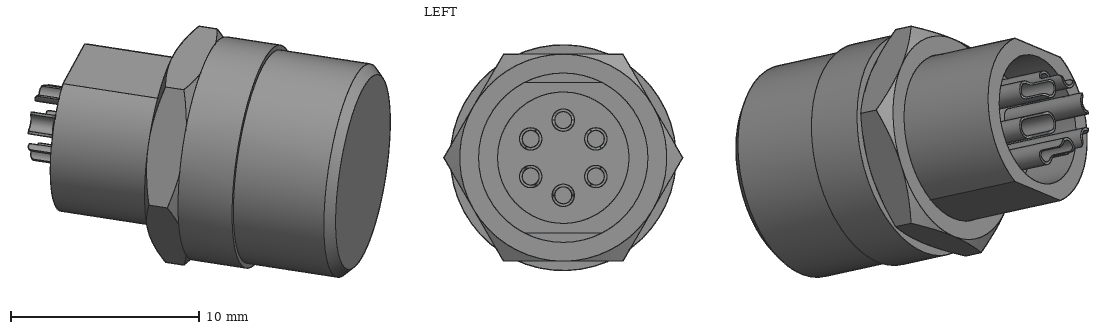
import cadquery as cq
import math

barrel_start = 2.0
nut_start = 7.5
flange_start = 9.5
sleeve_start = 12.5
total_length = 18.0

barrel_radius = 4.5
barrel_across_flats = 8.0
cavity_radius = 3.5
cavity_depth = 3.0

nut_across_flats = 11.0
nut_chamfer_angle = 30.0

flange_diameter = 12.0
sleeve_radius = 5.75
sleeve_chamfer = 0.5

pin_count = 6
pin_circle_radius = 2.0
pin_radius = 0.6
cup_radius = 0.45
cup_depth = 3.0
cup_opening_length = 1.5
cup_opening_round = 0.25

cavity_floor = barrel_start + cavity_depth


def cylinder_along_x(start, end, radius):
    """Solid cylinder on the X axis between two stations."""
    return cq.Workplane("YZ", origin=(start, 0, 0)).circle(radius).extrude(end - start)


def make_barrel():
    length = flange_start - barrel_start
    barrel = cylinder_along_x(barrel_start, flange_start, barrel_radius)
    flats = cq.Workplane("XY").box(length, 2 * barrel_radius, barrel_across_flats)
    flats = flats.translate((barrel_start + length / 2, 0, 0))
    cavity = cylinder_along_x(barrel_start, cavity_floor, cavity_radius)
    return barrel.intersect(flats).cut(cavity)


def make_nut():
    thickness = flange_start - nut_start
    corner_radius = nut_across_flats / math.sqrt(3)
    face_radius = nut_across_flats / 2
    hexagon = (
        cq.Workplane("YZ", origin=(nut_start, 0, 0))
        .polygon(6, 2 * corner_radius)
        .extrude(thickness)
    )
    cone_rise = thickness / 2 / math.tan(math.radians(nut_chamfer_angle))
    double_cone = (
        cq.Workplane("XY")
        .moveTo(nut_start, 0)
        .lineTo(nut_start, face_radius)
        .lineTo(nut_start + thickness / 2, face_radius + cone_rise)
        .lineTo(flange_start, face_radius)
        .lineTo(flange_start, 0)
        .close()
        .revolve(360, (0, 0, 0), (1, 0, 0))
    )
    bore = cylinder_along_x(nut_start, flange_start, barrel_radius)
    return hexagon.intersect(double_cone).cut(bore)


def make_sleeve():
    sleeve = cylinder_along_x(sleeve_start, total_length, sleeve_radius)
    return sleeve.faces(">X").chamfer(sleeve_chamfer)


def make_pin():
    """Pin on the X axis whose solder cup is open towards +Z."""
    pin = cylinder_along_x(0, cavity_floor, pin_radius)
    cup = cylinder_along_x(0, cup_depth, cup_radius)
    bend = cup_opening_round
    opening = (
        cq.Workplane("XZ", origin=(0, pin_radius, 0))
        .moveTo(0, -bend)
        .radiusArc((bend, 0), bend)
        .lineTo(cup_opening_length - bend, 0)
        .radiusArc((cup_opening_length, bend), -bend)
        .lineTo(cup_opening_length, pin_radius)
        .lineTo(0, pin_radius)
        .close()
        .extrude(2 * pin_radius)
    )
    return pin.cut(cup).cut(opening)


flange = cylinder_along_x(flange_start, sleeve_start, flange_diameter / 2)
result = make_barrel().union(make_nut()).union(flange).union(make_sleeve())

outer_pin = make_pin().translate((0, 0, pin_circle_radius))
for index in range(pin_count):
    angle = index * 360 / pin_count
    result = result.union(outer_pin.rotate((0, 0, 0), (1, 0, 0), angle))